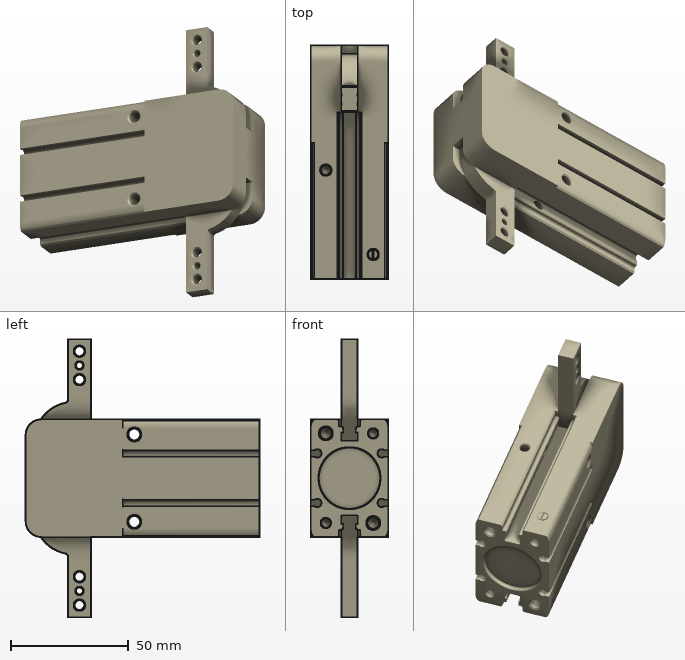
import cadquery as cq
import math


WIDTH = 33.0
LENGTH = 99.6
HEIGHT = 50.2
BACK_RADIUS = 6.9
PROFILE_LENGTH = 58.1

RELIEF_TOP_X = 1.4
RELIEF_KINK_X = 0.7
RELIEF_KINK_Z = 0.7
RELIEF_SIDE_Z = 3.5
RELIEF_RADIUS = 6.9

GROOVE_BULB_DIAMETER = 3.5
GROOVE_NECK_WIDTH = 2.8
GROOVE_DEPTH_TO_CENTRE = 2.8
GROOVE_Z = 10.5

TSLOT_LENGTH = 71.0
TSLOT_HALF_WIDTH = 4.5
TSLOT_RIM_CHAMFER = 0.7
TSLOT_CORNER_BEVEL = 0.4
TSLOT_NECK_HALF_WIDTH = 2.7
TSLOT_STEP_DEPTH = 3.2
TSLOT_UNDERCUT_DEPTH = 5.7
TSLOT_FLOOR_DEPTH = 9.2

JAW_THICKNESS = 6.9
JAW_TIP_Z = 59.2
ARM_WIDTH = 10.0
ARM_Y = 76.6
PIVOT_Z = 16.6
LOBE_Y = 79.2
LOBE_Z = 15.7
LOBE_RADIUS = 16.7
LOBE_ROOT_BEVEL = 0.7
JAW_HOLE_TIP_DISTANCE = 11.2
JAW_HOLE_SPACING = 6.0
JAW_MOUNT_DIAMETER = 4.1
JAW_MOUNT_RIM_DIAMETER = 5.0
JAW_CENTRE_DIAMETER = 3.0
JAW_CENTRE_RIM_DIAMETER = 3.7
WEB_CLEARANCE = 0.4

RECESS_DIAMETER = 26.0
RECESS_RIM_DIAMETER = 26.5
RECESS_DEPTH = 2.0

DRILL_POINT_ANGLE = 118
FRONT_HOLE_X = 10.1
FRONT_HOLE_Z = 19.1
FRONT_HOLE_DEPTH = 11.8
LARGE_DIAMETER = 5.0
LARGE_RIM_DIAMETER = 6.0
SMALL_DIAMETER = 4.0
SMALL_RIM_DIAMETER = 4.5
SIDE_HOLE_Y = 53.3
SIDE_HOLE_Z = 18.6
PORT_X = 10.1
PORT_Y = 46.4
PORT_DEPTH = 7.1
PORT_DIAMETER = 4.1
PORT_RIM_DIAMETER = 5.0

SCREW_X = 10.1
SCREW_Y = 10.5
SCREW_LENGTH = 3.0
SCREW_SLOT_WIDTH = 0.7
SCREW_SLOT_DEPTH = 0.7

HALF_WIDTH = WIDTH / 2
HALF_HEIGHT = HEIGHT / 2
HALF_ARM = ARM_WIDTH / 2
JAW_BOTTOM_Z = PIVOT_Z - HALF_ARM
WEB_HALF_HEIGHT = JAW_BOTTOM_Z - WEB_CLEARANCE


def box(x_min, x_max, y_min, y_max, z_min, z_max):
    size = (x_max - x_min, y_max - y_min, z_max - z_min)
    return cq.Workplane("XY").box(*size, centered=False).translate((x_min, y_min, z_min))


def mirrored_in_z(shape):
    """The shape together with its mirror image below the mid-plane."""
    return shape.union(shape.mirror("XY"))


def mirrored_in_x(shape):
    return shape.union(shape.mirror("YZ"))


def rimmed_bore(mouth, inward, diameter, rim_diameter, depth):
    """A cutter for a bore with a 45-degree countersunk rim; it starts at `mouth` and points along `inward`."""
    plane = cq.Plane(origin=mouth, normal=inward)
    rim_depth = (rim_diameter - diameter) / 2
    bore = cq.Workplane(plane).circle(diameter / 2).extrude(depth)
    rim = cq.Workplane(plane).circle(rim_diameter / 2).extrude(rim_depth, taper=45)
    return bore.union(rim)


def drilled_hole(mouth, inward, diameter, rim_diameter, depth):
    """A rimmed bore that ends in the cone left by the drill point."""
    bore = rimmed_bore(mouth, inward, diameter, rim_diameter, depth)
    radius = diameter / 2
    end = cq.Vector(*mouth) + cq.Vector(*inward) * depth
    point_height = radius / math.tan(math.radians(DRILL_POINT_ANGLE / 2))
    point = cq.Solid.makeCone(radius, 0, point_height, end, cq.Vector(*inward))
    return bore.union(cq.Workplane(point))


def through_hole(mouth, inward, diameter, rim_diameter, depth):
    """A bore with a rim at both ends."""
    far_mouth = cq.Vector(*mouth) + cq.Vector(*inward) * depth
    near = rimmed_bore(mouth, inward, diameter, rim_diameter, depth)
    far = rimmed_bore(far_mouth.toTuple(), tuple(-c for c in inward), diameter, rim_diameter, depth)
    return near.union(far)


def edge_reliefs():
    relief = (
        cq.Workplane("XZ", origin=(-HALF_WIDTH, 0, HALF_HEIGHT))
        .moveTo(0, 0)
        .lineTo(RELIEF_TOP_X, 0)
        .lineTo(RELIEF_KINK_X, -RELIEF_KINK_Z)
        .radiusArc((0, -RELIEF_SIDE_Z), -RELIEF_RADIUS)
        .close()
        .extrude(-PROFILE_LENGTH)
    )
    return mirrored_in_x(mirrored_in_z(relief))


def side_grooves():
    bulb_x = -HALF_WIDTH + GROOVE_DEPTH_TO_CENTRE
    bulb = (
        cq.Workplane("XZ")
        .center(bulb_x, GROOVE_Z)
        .circle(GROOVE_BULB_DIAMETER / 2)
        .extrude(-PROFILE_LENGTH)
    )
    half_neck = GROOVE_NECK_WIDTH / 2
    neck = box(-HALF_WIDTH, bulb_x, 0, PROFILE_LENGTH, GROOVE_Z - half_neck, GROOVE_Z + half_neck)
    return mirrored_in_x(mirrored_in_z(bulb.union(neck)))


def t_slots():
    undercut_half_width = JAW_THICKNESS / 2
    right_side = [
        (TSLOT_HALF_WIDTH + TSLOT_RIM_CHAMFER, 0),
        (TSLOT_HALF_WIDTH, -TSLOT_RIM_CHAMFER),
        (TSLOT_HALF_WIDTH, -TSLOT_STEP_DEPTH + TSLOT_CORNER_BEVEL),
        (TSLOT_HALF_WIDTH - TSLOT_CORNER_BEVEL, -TSLOT_STEP_DEPTH),
        (TSLOT_NECK_HALF_WIDTH + TSLOT_CORNER_BEVEL, -TSLOT_STEP_DEPTH),
        (TSLOT_NECK_HALF_WIDTH, -TSLOT_STEP_DEPTH - TSLOT_CORNER_BEVEL),
        (TSLOT_NECK_HALF_WIDTH, -TSLOT_UNDERCUT_DEPTH),
        (undercut_half_width, -TSLOT_UNDERCUT_DEPTH),
        (undercut_half_width, -TSLOT_FLOOR_DEPTH + TSLOT_CORNER_BEVEL),
        (undercut_half_width - TSLOT_CORNER_BEVEL, -TSLOT_FLOOR_DEPTH),
    ]
    left_side = [(-x, z) for x, z in reversed(right_side)]
    slot = (
        cq.Workplane("XZ", origin=(0, 0, HALF_HEIGHT))
        .polyline(right_side + left_side)
        .close()
        .extrude(-TSLOT_LENGTH)
    )
    return mirrored_in_z(slot)


def jaw_slot():
    """The gap between the cheeks, crossed by a web between the two jaws."""
    half = JAW_THICKNESS / 2
    gap = box(-half, half, TSLOT_LENGTH, LENGTH, -HALF_HEIGHT, HALF_HEIGHT)
    web = box(-half, half, ARM_Y, LENGTH, -WEB_HALF_HEIGHT, WEB_HALF_HEIGHT)
    return gap.cut(web)


def housing_holes():
    into_front = (0, 1, 0)
    into_top = (0, 0, -1)
    port_mouth = (-PORT_X, PORT_Y, HALF_HEIGHT)
    screw_mouth = (SCREW_X, SCREW_Y, HALF_HEIGHT)
    cutters = [
        rimmed_bore((0, 0, 0), into_front, RECESS_DIAMETER, RECESS_RIM_DIAMETER, RECESS_DEPTH),
        drilled_hole(port_mouth, into_top, PORT_DIAMETER, PORT_RIM_DIAMETER, PORT_DEPTH),
        rimmed_bore(screw_mouth, into_top, PORT_DIAMETER, PORT_RIM_DIAMETER, SCREW_LENGTH),
    ]
    for side in (-1, 1):
        large_mouth = (side * FRONT_HOLE_X, 0, -side * FRONT_HOLE_Z)
        small_mouth = (side * FRONT_HOLE_X, 0, side * FRONT_HOLE_Z)
        side_mouth = (-HALF_WIDTH, SIDE_HOLE_Y, side * SIDE_HOLE_Z)
        cutters += [
            drilled_hole(large_mouth, into_front, LARGE_DIAMETER, LARGE_RIM_DIAMETER, FRONT_HOLE_DEPTH),
            drilled_hole(small_mouth, into_front, SMALL_DIAMETER, SMALL_RIM_DIAMETER, FRONT_HOLE_DEPTH),
            through_hole(side_mouth, (1, 0, 0), LARGE_DIAMETER, LARGE_RIM_DIAMETER, WIDTH),
        ]
    return cutters


def make_housing():
    block = box(-HALF_WIDTH, HALF_WIDTH, 0, LENGTH, -HALF_HEIGHT, HALF_HEIGHT)
    housing = block.edges("|X and >Y").fillet(BACK_RADIUS)
    cutters = [edge_reliefs(), side_grooves(), t_slots(), jaw_slot(), *housing_holes()]
    for cutter in cutters:
        housing = housing.cut(cutter)
    return housing


def make_upper_jaw():
    arm_front = ARM_Y - HALF_ARM
    arm_back = ARM_Y + HALF_ARM
    half = JAW_THICKNESS / 2

    def lobe_z(y):
        return LOBE_Z + (LOBE_RADIUS**2 - (y - LOBE_Y) ** 2) ** 0.5

    root_y = arm_back + LOBE_ROOT_BEVEL
    root_z = lobe_z(root_y)
    lobe_back = LOBE_Y + LOBE_RADIUS
    diagonal = LOBE_RADIUS * 0.5**0.5
    jaw = (
        cq.Workplane("YZ", origin=(-half, 0, 0))
        .moveTo(arm_front, PIVOT_Z)
        .lineTo(arm_front, JAW_TIP_Z)
        .lineTo(arm_back, JAW_TIP_Z)
        .lineTo(arm_back, root_z + LOBE_ROOT_BEVEL)
        .lineTo(root_y, root_z)
        .threePointArc((LOBE_Y + diagonal, LOBE_Z + diagonal), (lobe_back, LOBE_Z))
        .lineTo(lobe_back, JAW_BOTTOM_Z)
        .lineTo(ARM_Y, JAW_BOTTOM_Z)
        .radiusArc((arm_front, PIVOT_Z), HALF_ARM)
        .close()
        .extrude(JAW_THICKNESS)
    )
    centre_z = JAW_TIP_Z - JAW_HOLE_TIP_DISTANCE
    holes = [
        (centre_z - JAW_HOLE_SPACING, JAW_MOUNT_DIAMETER, JAW_MOUNT_RIM_DIAMETER),
        (centre_z, JAW_CENTRE_DIAMETER, JAW_CENTRE_RIM_DIAMETER),
        (centre_z + JAW_HOLE_SPACING, JAW_MOUNT_DIAMETER, JAW_MOUNT_RIM_DIAMETER),
    ]
    for z, diameter, rim_diameter in holes:
        mouth = (-half, ARM_Y, z)
        jaw = jaw.cut(through_hole(mouth, (1, 0, 0), diameter, rim_diameter, JAW_THICKNESS))
    return jaw


def make_jaws():
    jaws = []
    for turn in (0, 180):
        jaws.append(make_upper_jaw().rotate((0, 0, 0), (0, 1, 0), turn))
    return jaws


def make_screw():
    top = (SCREW_X, SCREW_Y, HALF_HEIGHT)
    screw = cq.Workplane("XY", origin=top).circle(PORT_DIAMETER / 2).extrude(-SCREW_LENGTH)
    slot = (
        cq.Workplane("XY", origin=top)
        .rect(SCREW_SLOT_WIDTH, PORT_DIAMETER)
        .extrude(-SCREW_SLOT_DEPTH)
    )
    return screw.cut(slot)


housing = make_housing()
jaws = make_jaws()
screw = make_screw()

result = cq.Compound.makeCompound([housing.val(), *[jaw.val() for jaw in jaws], screw.val()])